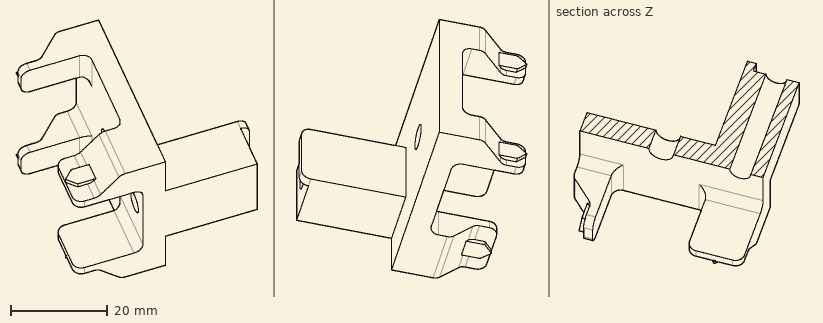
import cadquery as cq


width = 40.0
height = 35.0
plate_thickness = 5.0
prong_reach = 20.0

channel_width = 20.5
left_prong_width = 7.5
channel_right = left_prong_width + channel_width
channel_centre = left_prong_width + channel_width / 2
right_prong_width = width - channel_right
prong_height = (height - channel_width) / 2
round_radius = 2.0

tip_thickness = 2.0
tip_start = 15.0
barb_start = 14.0
barb_width = 4.0
barb_height = 1.0
barb_point_length = 2.0

block_length = 20.4
block_height = 15.4
lip_length = 2.0
lip_thickness = 2.0

centre_hole_diameter = 5.3
side_hole_diameter = 4.5
side_hole_x = 35.0

top = height / 2
tip_y = -prong_reach
left_prong_edge = left_prong_width - tip_thickness
right_prong_edge = channel_width / 2 + tip_thickness
left_prong_range = (0, left_prong_width)
right_prong_range = (channel_right, width)

select_margin = 0.05


def box(x_range, y_range, z_range):
    """Box spanning the given (low, high) range on each axis."""
    low, high = zip(x_range, y_range, z_range)
    size = [end - start for start, end in zip(low, high)]
    return cq.Workplane("XY").box(*size, centered=False).translate(low)


def round_edges(part, direction, low, high):
    """Round the edges along a direction whose centres lie between two corner points."""
    low = [value - select_margin for value in low]
    high = [value + select_margin for value in high]
    selector = cq.selectors.BoxSelector(low, high)
    return part.edges("|" + direction).edges(selector).fillet(round_radius)


def round_line_along_z(part, x, y):
    """Round every edge along Z that lies at the given X and Y."""
    return round_edges(part, "Z", (x, y, -top), (x, y, top))


def round_line_along_x(part, y, z, x_range):
    """Round every edge along X that lies at the given Y and Z within an X range."""
    left, right = x_range
    return round_edges(part, "X", (left, y, z), (right, y, z))


def pronged_body():
    """Plate with four corner prongs; the channel floors are rounded into the prongs."""
    body = box((0, width), (tip_y, 0), (-top, top))
    channel_depth = (tip_y, -plate_thickness)
    half_channel = channel_width / 2
    upright_channel = box((left_prong_width, channel_right), channel_depth, (-top, top))
    upright_channel = upright_channel.edges("|Z and >Y").fillet(round_radius)
    level_channel = box((0, width), channel_depth, (-half_channel, half_channel))
    level_channel = level_channel.edges("|X and >Y").fillet(round_radius)
    return body.cut(upright_channel).cut(level_channel)


def outline(plane, corners):
    """Closed outline from (across, y) corners; across is X in plane XY and Z in plane YZ."""
    if plane == "YZ":
        corners = [(y, across) for across, y in corners]
    return cq.Workplane(plane).polyline(corners).close()


def slope_start_y(outer, edge):
    """Y where a 45 degree slope down to the tip leaves the outer face of a prong."""
    return abs(outer - edge) - tip_start


def slope_waste(plane, outer, edge):
    """Outline of the material removed outside a prong's slope and tip."""
    corners = [(outer, slope_start_y(outer, edge)), (edge, -tip_start), (edge, tip_y), (outer, tip_y)]
    return outline(plane, corners)


def thin_left_prongs(part):
    """Slope the outer faces of the left prongs and round the tip corners."""
    part = part.cut(slope_waste("XY", 0, left_prong_edge).extrude(top, both=True))
    part = round_line_along_z(part, 0, slope_start_y(0, left_prong_edge))
    part = round_line_along_z(part, left_prong_edge, -tip_start)
    for z in (-top, -channel_width / 2, channel_width / 2, top):
        part = round_line_along_x(part, tip_y, z, left_prong_range)
    return part


def thin_right_prongs(part):
    """Slope the upper and lower faces of the right prongs and round the tip corners."""
    for side in (-1, 1):
        outer = side * top
        edge = side * right_prong_edge
        waste = slope_waste("YZ", outer, edge).extrude(right_prong_width)
        part = part.cut(waste.translate((channel_right, 0, 0)))
        part = round_line_along_x(part, slope_start_y(outer, edge), outer, right_prong_range)
        part = round_line_along_x(part, -tip_start, edge, right_prong_range)
    for x in right_prong_range:
        part = round_line_along_z(part, x, tip_y)
    return part


def barb_outline(plane, centre):
    """Strip along Y that comes to a point at the prong tip."""
    half_width = barb_width / 2
    shoulder_y = tip_y + barb_point_length
    corners = [
        (centre - half_width, -barb_start),
        (centre - half_width, shoulder_y),
        (centre, tip_y),
        (centre + half_width, shoulder_y),
        (centre + half_width, -barb_start),
    ]
    return outline(plane, corners)


def add_barbs(part):
    """Pointed snap barbs standing on the outer face of each prong tip."""
    prong_centre_z = top - prong_height / 2
    prong_centre_x = channel_right + right_prong_width / 2
    for side in (-1, 1):
        left_barb = barb_outline("YZ", side * prong_centre_z).extrude(-barb_height)
        part = part.union(left_barb.translate((left_prong_edge, 0, 0)))
        right_barb = barb_outline("XY", prong_centre_x).extrude(side * barb_height)
        part = part.union(right_barb.translate((0, 0, side * right_prong_edge)))
    return part


def rear_block():
    """Block behind the right prongs, with a rounded lip on its left face."""
    half_height = block_height / 2
    z_range = (-half_height, half_height)
    lip_end = block_length + lip_length
    block = box(right_prong_range, (0, block_length), z_range)
    lip = box((channel_right, channel_right + lip_thickness), (0, lip_end), z_range)
    lip = lip.edges("|X and >Y").fillet(round_radius)
    return block.union(lip)


def drill_along_y(part, x, diameter):
    """Through hole along Y at mid height."""
    total_length = prong_reach + block_length + lip_length
    drill = cq.Workplane("XZ", origin=(x, tip_y, 0)).circle(diameter / 2).extrude(-total_length)
    return part.cut(drill)


body = pronged_body()
body = thin_left_prongs(body)
body = thin_right_prongs(body)
body = add_barbs(body)
body = body.union(rear_block())
body = drill_along_y(body, channel_centre, centre_hole_diameter)
result = drill_along_y(body, side_hole_x, side_hole_diameter)